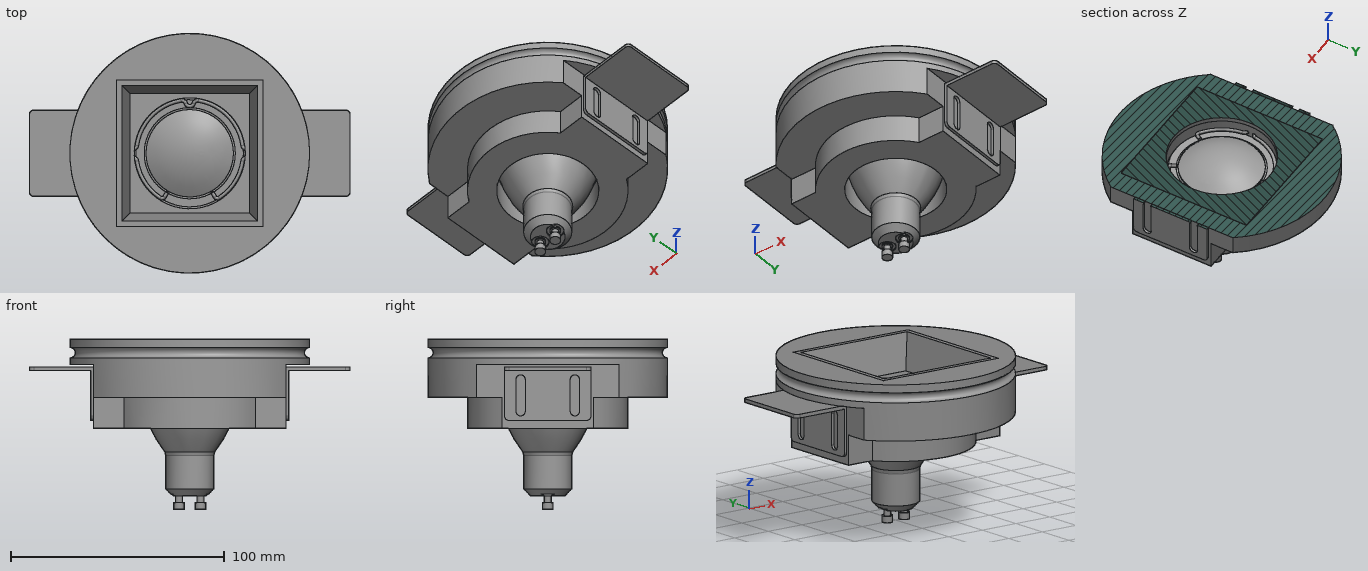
import cadquery as cq
import math


total_length = 150.0
total_height = 79.5

disc_diameter = 112.0
disc_radius = disc_diameter / 2
disc_bottom = -27.2
groove_radius = 2.4
groove_z = -6.3
flat_x = 45.0
flat_top = -11.8
hub_radius = 37.5
hub_bottom = -41.7
hub_pad_width = 42.9
lamp_hole_radius = 26.0
reflector_hole_radius = 23.8

frame_side = 68.2
frame_wall = 2.5
frame_floor_side = 55.6
frame_floor_z = -17.5
frame_floor_thickness = 2.1
frame_mouth_side = frame_side - 2 * frame_wall
frame_bottom = frame_floor_z - frame_floor_thickness

bracket_width = 40.4
bracket_leg_thickness = 1.4
bracket_arm_thickness = 1.8
bracket_top = -12.9
bracket_bottom = -38.0
bracket_corner_radius = 2.1
slot_width = 4.4
slot_top = -16.6
slot_bottom = -35.8
slot_spacing = 25.4

lamp_face_z = -25.0
rim_radius = 25.0
rim_thickness = 2.0
reflector_top_radius = 23.5
reflector_mid_radius = 18.5
neck_top_radius = 11.7
neck_top_z = -52.6
base_radius = 11.2
base_top_z = -54.5
base_chamfer_z = -69.9
base_end_radius = 8.1
base_end_z = -73.2
pin_recess_radius = 4.0
pin_recess_depth = 0.8
pin_recess_z = base_end_z + pin_recess_depth
rim_bottom = lamp_face_z - rim_thickness

lens_radius = 21.3
lens_depth = 1.5
dome_radius = 20.4
dome_edge_height = 0.6
dome_edge_z = lamp_face_z + dome_edge_height
dome_top_z = -18.6

pin_spacing = 10.0
pin_neck_radius = 1.6
pin_head_radius = 2.5
pin_head_height = 3.2
pin_bottom = -total_height
pin_positions = (-pin_spacing / 2, pin_spacing / 2)

wire_radius = 0.82
clip_clearance = 0.2
clip_radius = lamp_hole_radius - clip_clearance - wire_radius
clip_z = lamp_face_z + wire_radius
kink_bend_radius = 2.0
kink_loop_radius = 2.0
kink_depth = 3.0
prong_bend_radius = 1.4
prong_tip_radius = 21.0
prong_angle = 30.0


def cylinder(radius, z_low, z_high):
    return cq.Workplane("XY").workplane(offset=z_low).circle(radius).extrude(z_high - z_low)


def box(x_size, y_size, z_low, z_high):
    return cq.Workplane("XY").workplane(offset=z_low).rect(x_size, y_size).extrude(z_high - z_low)


def polar(angle, along, across=0.0):
    """Point at a distance along a radial direction and across it (counterclockwise)."""
    c = math.cos(math.radians(angle))
    s = math.sin(math.radians(angle))
    return cq.Vector(along * c - across * s, along * s + across * c, clip_z)


def toward(start, end, distance):
    """Point at a distance from `start` in the direction of `end`."""
    scale = distance / math.dist(start, end)
    return start[0] + (end[0] - start[0]) * scale, start[1] + (end[1] - start[1]) * scale


def half_kink(direction):
    """Ring end, bend middle and loop end of one half of a kink, as (along, across) pairs.

    A bend tangent to the ring runs into the round end loop, which is centred on the radial
    line. direction is +1 for a loop outside the ring and -1 for a loop inside it.
    """
    loop_centre = (clip_radius + direction * (kink_depth - kink_loop_radius), 0)
    centre_distance = clip_radius + direction * kink_bend_radius
    centre_spacing = kink_loop_radius + kink_bend_radius
    along = (centre_distance**2 + loop_centre[0] ** 2 - centre_spacing**2) / (2 * loop_centre[0])
    bend_centre = (along, math.sqrt(centre_distance**2 - along**2))

    ring_end = toward((0, 0), bend_centre, clip_radius)
    loop_end = toward(loop_centre, bend_centre, kink_loop_radius)
    chord_middle = ((ring_end[0] + loop_end[0]) / 2, (ring_end[1] + loop_end[1]) / 2)
    return ring_end, toward(bend_centre, chord_middle, kink_bend_radius), loop_end


def prong_bend():
    """Ring end, middle and prong end of the bend into a prong, as (along, across) pairs."""
    centre_distance = clip_radius - prong_bend_radius
    bend_centre = (math.sqrt(centre_distance**2 - prong_bend_radius**2), prong_bend_radius)
    ring_end = toward((0, 0), bend_centre, clip_radius)
    prong_end = (bend_centre[0], 0)
    chord_middle = ((ring_end[0] + prong_end[0]) / 2, (ring_end[1] + prong_end[1]) / 2)
    return ring_end, toward(bend_centre, chord_middle, prong_bend_radius), prong_end


def placed(points, angle, side):
    """Points along and across a radial direction, with `side` -1 mirroring them across it."""
    return [polar(angle, along, side * across) for along, across in points]


def make_clip():
    arc = cq.Edge.makeThreePointArc
    start_angle = -90 + prong_angle
    end_angle = 270 - prong_angle

    ring_point, bend_middle, prong_point = placed(prong_bend(), start_angle, 1)
    tip = polar(start_angle, prong_tip_radius)
    edges = [cq.Edge.makeLine(tip, prong_point), arc(prong_point, bend_middle, ring_point)]

    previous_angle = start_angle
    for angle, direction in ((0, 1), (90, -1), (180, 1)):
        entry = placed(half_kink(direction), angle, -1)
        leave = placed(half_kink(direction), angle, 1)
        loop_top = polar(angle, clip_radius + direction * kink_depth)
        edges.append(arc(ring_point, polar((previous_angle + angle) / 2, clip_radius), entry[0]))
        edges.append(arc(*entry))
        edges.append(arc(entry[2], loop_top, leave[2]))
        edges.append(arc(*reversed(leave)))
        ring_point = leave[0]
        previous_angle = angle

    end_bend = placed(prong_bend(), end_angle, -1)
    edges.append(arc(ring_point, polar((previous_angle + end_angle) / 2, clip_radius), end_bend[0]))
    edges.append(arc(*end_bend))
    edges.append(cq.Edge.makeLine(end_bend[2], polar(end_angle, prong_tip_radius)))

    path = cq.Wire.assembleEdges(edges)
    section_plane = cq.Plane(origin=tip, xDir=(0, 0, 1), normal=prong_point - tip)
    return cq.Workplane(section_plane).circle(wire_radius).sweep(cq.Workplane(path))


def make_frame():
    mouth = (
        cq.Workplane("XY")
        .rect(frame_mouth_side, frame_mouth_side)
        .workplane(offset=frame_floor_z)
        .rect(frame_floor_side, frame_floor_side)
        .loft(ruled=True)
    )
    frame = box(frame_side, frame_side, frame_bottom, 0).cut(mouth)
    return frame.cut(cylinder(lamp_hole_radius, frame_bottom, 0))


def make_housing(clip):
    disc = cylinder(disc_radius, disc_bottom, 0)
    groove = (
        cq.Workplane("XZ")
        .center(disc_radius, groove_z)
        .circle(groove_radius)
        .revolve(360, (-disc_radius, 0, 0), (-disc_radius, 1, 0))
    )
    flats = box(disc_diameter, disc_diameter, disc_bottom, flat_top).cut(
        box(2 * flat_x, disc_diameter, disc_bottom, flat_top)
    )
    hub = cylinder(hub_radius, hub_bottom, disc_bottom)
    hub_pads = box(2 * flat_x, hub_pad_width, hub_bottom, disc_bottom)
    housing = disc.cut(groove).cut(flats).union(hub).union(hub_pads)

    housing = housing.cut(box(frame_side, frame_side, frame_bottom, 0))
    housing = housing.cut(cylinder(lamp_hole_radius, rim_bottom, frame_bottom))
    housing = housing.cut(cylinder(reflector_hole_radius, hub_bottom, rim_bottom))
    return housing.cut(clip)


def make_bracket(side):
    """L-shaped bracket whose slotted leg lies on a housing flat; side is +1 or -1 along X."""
    arm_length = total_length / 2 - flat_x
    arm = (
        box(arm_length, bracket_width, bracket_top - bracket_arm_thickness, bracket_top)
        .translate((flat_x + arm_length / 2, 0, 0))
        .edges("|Z and >X")
        .fillet(bracket_corner_radius)
    )
    leg = (
        box(bracket_leg_thickness, bracket_width, bracket_bottom, bracket_top)
        .translate((flat_x + bracket_leg_thickness / 2, 0, 0))
        .edges("|X and <Z")
        .fillet(bracket_corner_radius)
    )
    slots = (
        cq.Workplane("YZ")
        .workplane(offset=flat_x)
        .pushPoints([(y, (slot_top + slot_bottom) / 2) for y in (-slot_spacing / 2, slot_spacing / 2)])
        .slot2D(slot_top - slot_bottom, slot_width, 90)
        .extrude(bracket_leg_thickness)
    )
    bracket = arm.union(leg).cut(slots)
    return bracket if side > 0 else bracket.rotate((0, 0, 0), (0, 0, 1), 180)


def make_lamp():
    body = (
        cq.Workplane("XZ")
        .moveTo(0, lamp_face_z)
        .lineTo(rim_radius, lamp_face_z)
        .lineTo(rim_radius, rim_bottom)
        .lineTo(reflector_top_radius, rim_bottom)
        .threePointArc((reflector_mid_radius, hub_bottom), (neck_top_radius, neck_top_z))
        .lineTo(base_radius, base_top_z)
        .lineTo(base_radius, base_chamfer_z)
        .lineTo(base_end_radius, base_end_z)
        .lineTo(0, base_end_z)
        .close()
        .revolve(360, (0, 0, 0), (0, 1, 0))
    )
    body = body.cut(cylinder(lens_radius, lamp_face_z - lens_depth, lamp_face_z))
    for x in pin_positions:
        body = body.cut(cylinder(pin_recess_radius, base_end_z, pin_recess_z).translate((x, 0, 0)))
    return body


def make_lens():
    """Lens disc set flush into the lamp face, with a raised spherical dome."""
    dome_rise = dome_top_z - dome_edge_z
    sphere_radius = (dome_radius**2 + dome_rise**2) / (2 * dome_rise)
    half_angle = math.asin(dome_radius / sphere_radius) / 2
    dome_middle = (
        sphere_radius * math.sin(half_angle),
        dome_top_z - sphere_radius * (1 - math.cos(half_angle)),
    )
    return (
        cq.Workplane("XZ")
        .moveTo(0, lamp_face_z - lens_depth)
        .lineTo(lens_radius, lamp_face_z - lens_depth)
        .lineTo(lens_radius, lamp_face_z)
        .lineTo(dome_radius, lamp_face_z)
        .lineTo(dome_radius, dome_edge_z)
        .threePointArc(dome_middle, (0, dome_top_z))
        .close()
        .revolve(360, (0, 0, 0), (0, 1, 0))
    )


def make_pin(x):
    """Headed pin whose collar fills the depth of its recess in the lamp base."""
    head_top = pin_bottom + pin_head_height
    head = cylinder(pin_head_radius, pin_bottom, head_top)
    neck = cylinder(pin_neck_radius, head_top, base_end_z)
    collar = cylinder(pin_head_radius, base_end_z, pin_recess_z)
    return head.union(neck).union(collar).translate((x, 0, 0))


clip = make_clip()
frame = make_frame()
housing = make_housing(clip)
lamp = make_lamp()
lens = make_lens()
brackets = [make_bracket(side) for side in (-1, 1)]
pins = [make_pin(x) for x in pin_positions]

bodies = [housing, frame, lamp, lens, clip, *brackets, *pins]
result = cq.Compound.makeCompound([body.solids().val() for body in bodies])